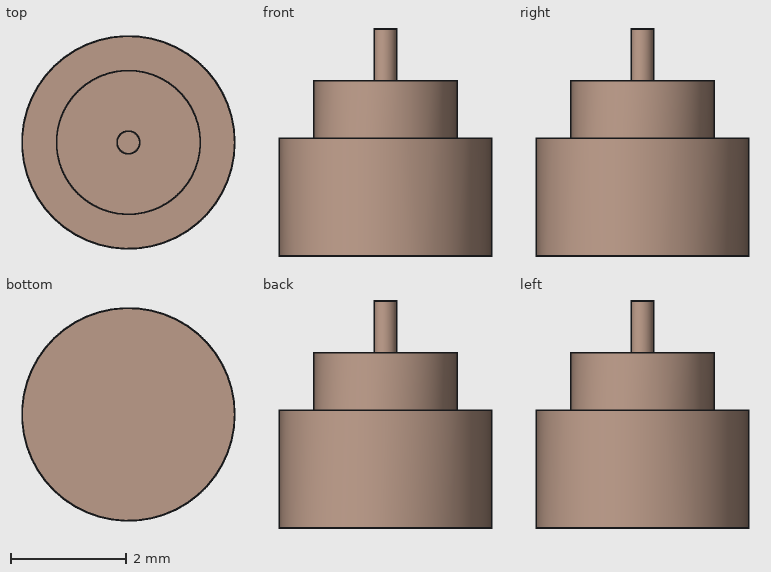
import cadquery as cq

total_height = 3.95
body_diameter = 3.7
body_height = 2.05
collar_diameter = 2.5
collar_height = 1.0
pin_diameter = 0.395

pin_height = total_height - body_height - collar_height


def add_cylinder(base, diameter, height):
    """Stack a coaxial cylinder on the top face of the base."""
    return base.faces(">Z").workplane().circle(diameter / 2).extrude(height)


body = cq.Workplane("XY").circle(body_diameter / 2).extrude(body_height)
body_with_collar = add_cylinder(body, collar_diameter, collar_height)
result = add_cylinder(body_with_collar, pin_diameter, pin_height)